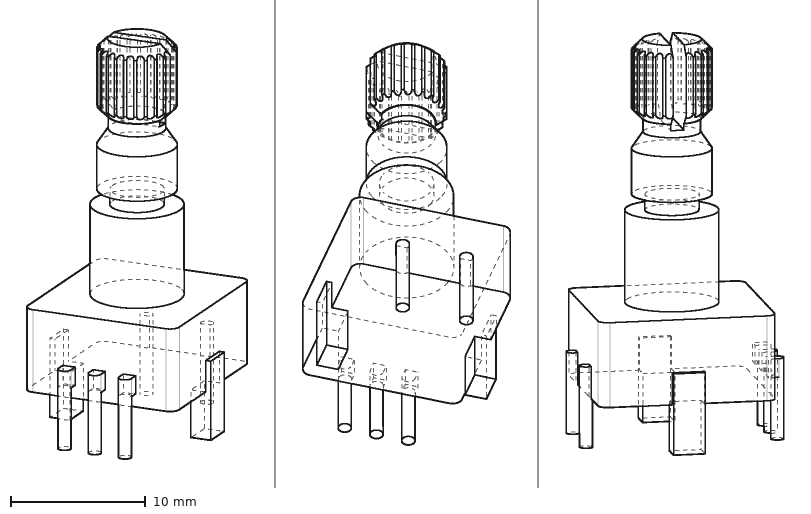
import cadquery as cq


housing_width = 12.38
housing_depth = 13.4
housing_bottom = 3.75
housing_height = 6.45
housing_top = housing_bottom + housing_height
corner_radius = 0.75

bushing_diameter = 7.0
bushing_height = 7.0
bushing_top = housing_top + bushing_height

lug_span = 13.2
lug_thickness = 1.65
lug_width = 2.42

terminal_top = 6.2
pin_diameter = 1.0
pin_spacing = 2.48
front_pin_y = -7.5
rear_pin_y = 7.0
arm_height = 1.42

shaft_diameter = 6.0
lower_neck_diameter = 4.05
upper_neck_diameter = 4.3
collar_bottom = 18.42
collar_top = 21.9
collar_cone_top = 23.15
shaft_top = 30.2
head_bottom = 24.2
head_end_diameter = 4.4
head_chamfer = (shaft_diameter - head_end_diameter) / 2

flute_count = 24
flute_radius = 0.275
slot_width = 1.0
slot_floor = 23.7


def make_round_pin(x, y):
    """Vertical round terminal from z = 0 up to the terminal top."""
    return cq.Workplane("XY").center(x, y).circle(pin_diameter / 2).extrude(terminal_top)


def make_lug(side):
    """Flat mounting lug as tall as the terminals; side is -1 for left and +1 for right."""
    lug_x = side * (lug_span - lug_thickness) / 2
    return (
        cq.Workplane("XY")
        .center(lug_x, 0)
        .rect(lug_thickness, lug_width)
        .extrude(terminal_top)
    )


def make_housing():
    """Block with bushing, two lugs and the two rear pins that merge into its back wall."""
    block = (
        cq.Workplane("XY", origin=(0, 0, housing_bottom))
        .rect(housing_width, housing_depth)
        .extrude(housing_height)
        .edges("|Z")
        .fillet(corner_radius)
    )
    bushing = (
        cq.Workplane("XY", origin=(0, 0, housing_top))
        .circle(bushing_diameter / 2)
        .extrude(bushing_height)
    )
    housing = block.union(bushing)
    for side in (-1, 1):
        housing = housing.union(make_lug(side))
        housing = housing.union(make_round_pin(side * pin_spacing, rear_pin_y))
    return housing


def make_front_terminal(x):
    """Round pin with a flat-sided arm that reaches back to the housing's front face."""
    arm_length = -housing_depth / 2 - front_pin_y
    arm = (
        cq.Workplane("XY", origin=(x, front_pin_y + arm_length / 2, terminal_top - arm_height))
        .rect(pin_diameter, arm_length)
        .extrude(arm_height)
    )
    return make_round_pin(x, front_pin_y).union(arm)


def make_shaft_blank():
    """Turned shaft profile standing on the bushing, before knurling and slotting."""
    shaft_radius = shaft_diameter / 2
    lower_neck_radius = lower_neck_diameter / 2
    upper_neck_radius = upper_neck_diameter / 2
    head_end_radius = head_end_diameter / 2
    return (
        cq.Workplane("XZ")
        .moveTo(0, bushing_top)
        .lineTo(lower_neck_radius, bushing_top)
        .lineTo(lower_neck_radius, collar_bottom)
        .lineTo(shaft_radius, collar_bottom)
        .lineTo(shaft_radius, collar_top)
        .lineTo(upper_neck_radius, collar_cone_top)
        .lineTo(upper_neck_radius, head_bottom)
        .lineTo(head_end_radius, head_bottom)
        .lineTo(shaft_radius, head_bottom + head_chamfer)
        .lineTo(shaft_radius, shaft_top - head_chamfer)
        .lineTo(head_end_radius, shaft_top)
        .lineTo(0, shaft_top)
        .close()
        .revolve(360, (0, 0, 0), (0, 1, 0))
    )


def make_flute_cutters():
    """Ring of cylinders centred on the head surface; one of them faces -Y."""
    return (
        cq.Workplane("XY", origin=(0, 0, head_bottom))
        .polarArray(shaft_diameter / 2, 0, 360, flute_count)
        .circle(flute_radius)
        .extrude(shaft_top - head_bottom)
    )


def make_slot_cutter():
    """Screwdriver slot running right across the head along X."""
    return (
        cq.Workplane("XY", origin=(0, 0, slot_floor))
        .rect(shaft_diameter, slot_width)
        .extrude(shaft_top - slot_floor)
    )


def make_shaft():
    """Shaft with a fluted, slotted head."""
    return make_shaft_blank().cut(make_flute_cutters()).cut(make_slot_cutter())


housing = make_housing()
shaft = make_shaft()
front_terminals = [make_front_terminal(x) for x in (-pin_spacing, 0, pin_spacing)]

result = cq.Compound.makeCompound(
    [housing.val(), shaft.val(), *[terminal.val() for terminal in front_terminals]]
)